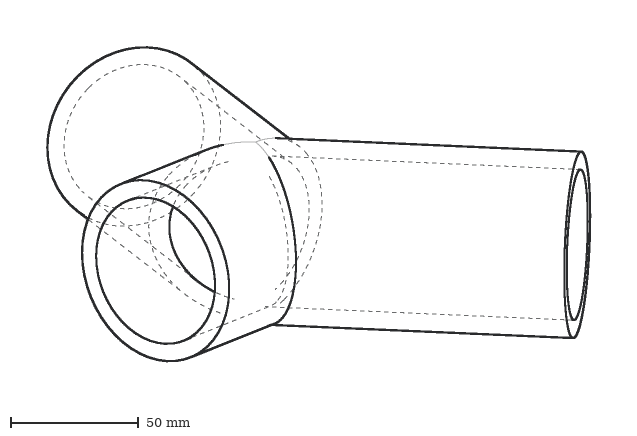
import cadquery as cq
import math

overall_width = 256.5
outer_diameter = 73.0
bore_diameter = 59.0
arm_angle = 30.0

arm_slope = math.radians(arm_angle)
rim_overhang = outer_diameter / 2 * math.sin(arm_slope)
arm_length = (overall_width / 2 - rim_overhang) / math.cos(arm_slope)
stem_length = arm_length / 2

pipes = [
    (arm_angle, arm_length),
    (180 - arm_angle, arm_length),
    (270, stem_length),
]


def branch_cylinders(diameter):
    """Union of three cylinders that meet at the origin."""
    branches = cq.Workplane("XY")
    for direction, length in pipes:
        angle = math.radians(direction)
        axis = cq.Vector(math.cos(angle), math.sin(angle), 0)
        cylinder = cq.Solid.makeCylinder(diameter / 2, length, cq.Vector(0, 0, 0), axis)
        branches = branches.union(cq.Workplane(cylinder))
    return branches


result = branch_cylinders(outer_diameter).cut(branch_cylinders(bore_diameter))